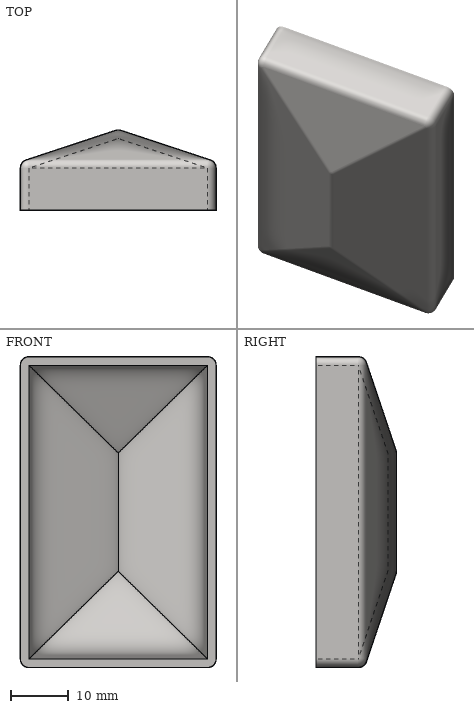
import cadquery as cq

WIDTH = 34.0
HEIGHT = 54.0
DEPTH = 14.0

WALL = 1.5

MOUTH_DEPTH = 7.35
RIDGE_LENGTH = 20.5
cavity_width = WIDTH - 2 * WALL
cavity_height = HEIGHT - 2 * WALL
cavity_depth = DEPTH - WALL


def gable_prism():
    """House-shaped section across the width, extruded along the ridge."""
    half_width = cavity_width / 2
    return (
        cq.Workplane("XY")
        .moveTo(-half_width, 0)
        .lineTo(half_width, 0)
        .lineTo(half_width, MOUTH_DEPTH)
        .lineTo(0, cavity_depth)
        .lineTo(-half_width, MOUTH_DEPTH)
        .close()
        .extrude(cavity_height / 2, both=True)
    )


def hip_prism():
    """Section along the ridge with sloped ends, extruded across the width."""
    half_height = cavity_height / 2
    half_ridge = RIDGE_LENGTH / 2
    return (
        cq.Workplane("YZ")
        .moveTo(0, -half_height)
        .lineTo(0, half_height)
        .lineTo(MOUTH_DEPTH, half_height)
        .lineTo(cavity_depth, half_ridge)
        .lineTo(cavity_depth, -half_ridge)
        .lineTo(MOUTH_DEPTH, -half_height)
        .close()
        .extrude(cavity_width / 2, both=True)
    )


cavity = gable_prism().intersect(hip_prism())

result = cavity.faces("<Y").shell(WALL, kind="arc")